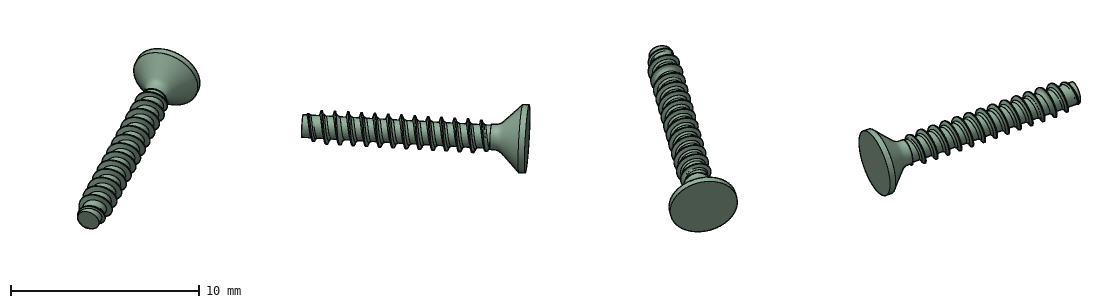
import cadquery as cq
import math

length = 12.0
head_diameter = 3.65
head_rim_height = 0.34
neck_radius = 0.685
neck_blend_radius = 0.605
neck_end = 1.945
cone_half_angle = math.radians(45)

core_start_radius = 0.63
core_tip_radius = 0.61

pitch = 0.71
crest_radius = 0.9
crest_half_width = 0.03
knee_radius = 0.70
knee_reach = 0.12
head_foot_reach = 0.3
tip_foot_reach = 0.12
foot_radius = 0.6
buried_radius = 0.5
thread_start = 1.6
full_height_start = 2.6
full_height_end = 10.95
thread_end = length
start_height_ratio = 0.25
end_height_ratio = 0.05
crest_depth_at_minus_x = 1.88
points_per_turn = 24

head_radius = head_diameter / 2


def make_body():
    """Turned blank: rim, cone, blended neck and slightly tapered core."""
    blend_drop = neck_blend_radius * (1 - math.cos(cone_half_angle))
    cone_end_radius = neck_radius + blend_drop
    cone_end = head_rim_height + (head_radius - cone_end_radius) / math.tan(cone_half_angle)
    blend_end = cone_end + neck_blend_radius * math.sin(cone_half_angle)
    middle_angle = cone_half_angle / 2
    blend_middle = (
        neck_radius + neck_blend_radius * (1 - math.cos(middle_angle)),
        -(blend_end - neck_blend_radius * math.sin(middle_angle)),
    )
    return (
        cq.Workplane("XY")
        .lineTo(head_radius, 0)
        .lineTo(head_radius, -head_rim_height)
        .lineTo(cone_end_radius, -cone_end)
        .threePointArc(blend_middle, (neck_radius, -blend_end))
        .lineTo(neck_radius, -neck_end)
        .lineTo(core_start_radius, -neck_end)
        .lineTo(core_tip_radius, -length)
        .lineTo(0, -length)
        .close()
        .revolve(360, (0, 0, 0), (0, 1, 0))
    )


def ridge_height_ratio(depth):
    """Ridge height at a given depth relative to its full height; it fades linearly at both ends."""
    if depth < full_height_start:
        fade = (full_height_start - depth) / (full_height_start - thread_start)
        return 1 - fade * (1 - start_height_ratio)
    if depth > full_height_end:
        fade = (depth - full_height_end) / (thread_end - full_height_end)
        return 1 - fade * (1 - end_height_ratio)
    return 1.0


def thread_point(depth, radius, axial_offset):
    """Point of the ridge section whose crest lies at the given depth."""
    angle = math.pi + 2 * math.pi * (depth - crest_depth_at_minus_x) / pitch
    if radius > foot_radius:
        radius = foot_radius + (radius - foot_radius) * ridge_height_ratio(depth)
    return cq.Vector(radius * math.cos(angle), -(depth + axial_offset), radius * math.sin(angle))


def make_thread():
    """Ridge bounded by ruled faces between neighbouring helical edges and two flat ends."""
    section = [
        (buried_radius, -head_foot_reach),
        (foot_radius, -head_foot_reach),
        (knee_radius, -knee_reach),
        (crest_radius, -crest_half_width),
        (crest_radius, crest_half_width),
        (foot_radius, tip_foot_reach),
        (buried_radius, tip_foot_reach),
    ]
    steps = round((thread_end - thread_start) / pitch * points_per_turn)
    depths = [thread_start + (thread_end - thread_start) * i / steps for i in range(steps + 1)]
    edges = [
        cq.Edge.makeSpline([thread_point(depth, radius, offset) for depth in depths])
        for radius, offset in section
    ]
    faces = [cq.Face.makeRuledSurface(edges[i - 1], edges[i]) for i in range(len(edges))]
    for depth in (thread_start, thread_end):
        outline = [thread_point(depth, radius, offset) for radius, offset in section]
        faces.append(cq.Face.makeFromWires(cq.Wire.makePolygon(outline, close=True)))
    return cq.Solid.makeSolid(cq.Shell.makeShell(faces)).fix()


def make_thread_zone():
    """Cylinder that trims the ridge to the length of the core."""
    return (
        cq.Workplane("XZ", origin=(0, -neck_end, 0)).circle(head_radius).extrude(length - neck_end)
    )


thread = make_thread_zone().intersect(cq.Workplane(make_thread()))
result = make_body().union(thread)